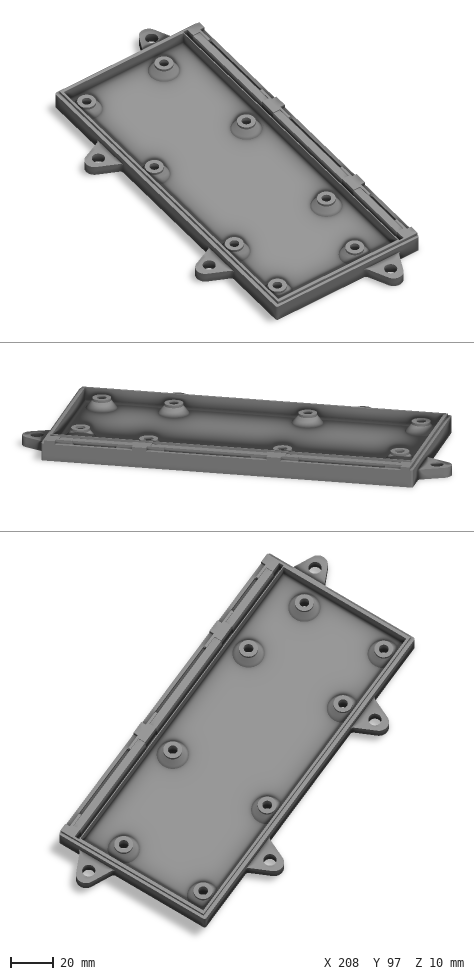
import cadquery as cq
import math

length = 180.0
depth = 83.0
height = 10.0
corner_radius = 1.0
side_wall = 3.1
back_wall = 10.5
floor_thickness = 3.0
floor_fillet = 1.0

shoulder_drop = 1.5
side_shoulder = 1.5
front_shoulder = 1.9

groove_start = 7.5
groove_width = 2.5
groove_overrun = 0.6
groove_taper = 1.0

recesses = [(-55.1, 58.2), (10.0, 58.2), (64.7, 37.5)]
strip_end = 2.5
strip_drop = 1.7
panel_start = 3.7
panel_drop = 0.5
panel_inset = 1.2
slot_start = 1.9
slot_drop = 3.0
slot_inset = 8.1

tab_reach = 14.0
tab_thickness = 5.0
tab_tip_radius = 4.8
tab_half_angle = math.radians(25)
tab_root_fillet = 1.9
tab_hole_diameter = 6.2
tab_hole_reach = 6.9
front_tab_x = 45.0
side_tab_distance = 21.6

boss_top = 8.0
boss_collar = 1.2
boss_diameter = 9.0
boss_base_diameter = 15.2
boss_hole_diameter = 4.5
outer_boss_x = 77.4
inner_boss_x = (-22.5, 42.5)
front_boss_distance = 73.5
outer_back_boss_distance = 28.5
inner_back_boss_distance = 20.0

half_length = length / 2
inner_half = half_length - side_wall
groove_end = groove_start + groove_width


def block(half_width, near, far, bottom, top, center_x=0):
    """Box centred on center_x that spans the distances near to far from the back face."""
    box = cq.Workplane().box(2 * half_width, far - near, top - bottom, centered=(True, False, False))
    return box.translate((center_x, -far, bottom))


def tray():
    """Box with rounded corners, a stepped rim and a filleted cavity."""
    shell = block(half_length, 0, depth, 0, height).edges("|Z").fillet(corner_radius)
    shoulder_z = height - shoulder_drop
    rim = block(half_length, 0, depth, shoulder_z, height)
    lip = block(half_length - side_shoulder, 0, depth - front_shoulder, shoulder_z, height)
    cavity = block(inner_half, back_wall, depth - side_wall, floor_thickness, height)
    cavity = cavity.faces("<Z").edges().fillet(floor_fillet)
    return shell.cut(rim.cut(lip)).cut(cavity)


def recess(center_x, width):
    """Back strip, deeper slot and shallow panel cut into the top of the back wall."""
    strip = block(width / 2, 0, strip_end, height - strip_drop, height, center_x)
    slot = block(width / 2 - slot_inset, slot_start, panel_start, height - slot_drop, height, center_x)
    panel = block(width / 2 - panel_inset, panel_start, groove_start, height - panel_drop, height, center_x)
    return strip.union(slot).union(panel)


def seal_groove():
    """Groove down to floor level, with its back face sloping outward in front of each recess."""
    groove = block(inner_half + groove_overrun, groove_start, groove_end, floor_thickness, height)
    for center_x, width in recesses:
        panel_width = width - 2 * panel_inset
        slope = (
            cq.Workplane("YZ")
            .moveTo(-groove_start, height - panel_drop)
            .lineTo(-groove_start, floor_thickness)
            .lineTo(-groove_start - groove_taper, floor_thickness)
            .close()
            .extrude(panel_width)
            .translate((center_x - panel_width / 2, 0, 0))
        )
        groove = groove.cut(slope)
    return groove


def tab():
    """Tab pointing along -Y from a wall face on y = 0, with a root strip inside the wall."""
    tangent_x = tab_tip_radius * math.cos(tab_half_angle)
    tangent_y = tab_reach - tab_tip_radius * (1 - math.sin(tab_half_angle))
    root_half = tangent_x + tangent_y * math.tan(tab_half_angle)
    strip_half = root_half + 2 * tab_root_fillet
    plate = (
        cq.Workplane()
        .moveTo(-strip_half, 0)
        .lineTo(-root_half, 0)
        .lineTo(-tangent_x, -tangent_y)
        .threePointArc((0, -tab_reach), (tangent_x, -tangent_y))
        .lineTo(root_half, 0)
        .lineTo(strip_half, 0)
        .lineTo(strip_half, side_wall / 2)
        .lineTo(-strip_half, side_wall / 2)
        .close()
        .extrude(tab_thickness)
    )
    half_height = tab_thickness / 2
    for x in (-root_half, root_half):
        corner = cq.selectors.NearestToPointSelector((x, 0, half_height))
        plate = plate.edges("|Z").edges(corner).fillet(tab_root_fillet)
    hole = cq.Workplane().center(0, -tab_hole_reach).circle(tab_hole_diameter / 2).extrude(tab_thickness)
    return plate.cut(hole)


def boss():
    """Cone on the tray floor topped by a short straight collar."""
    return (
        cq.Workplane("XZ")
        .moveTo(0, floor_thickness)
        .lineTo(boss_base_diameter / 2, floor_thickness)
        .lineTo(boss_diameter / 2, boss_top - boss_collar)
        .lineTo(boss_diameter / 2, boss_top)
        .lineTo(0, boss_top)
        .close()
        .revolve(360, (0, 0, 0), (0, 1, 0))
    )


body = tray()
for center_x, width in recesses:
    body = body.cut(recess(center_x, width))
body = body.cut(seal_groove())

for side in (-1, 1):
    body = body.union(tab().translate((side * front_tab_x, -depth, 0)))
    side_tab = tab().rotate((0, 0, 0), (0, 0, 1), side * 90)
    body = body.union(side_tab.translate((side * half_length, -side_tab_distance, 0)))

boss_places = []
for x in (-outer_boss_x, outer_boss_x):
    boss_places += [(x, -outer_back_boss_distance), (x, -front_boss_distance)]
for x in inner_boss_x:
    boss_places += [(x, -inner_back_boss_distance), (x, -front_boss_distance)]

for x, y in boss_places:
    body = body.union(boss().translate((x, y, 0)))
screw_holes = cq.Workplane().pushPoints(boss_places).circle(boss_hole_diameter / 2).extrude(boss_top)
result = body.cut(screw_holes)